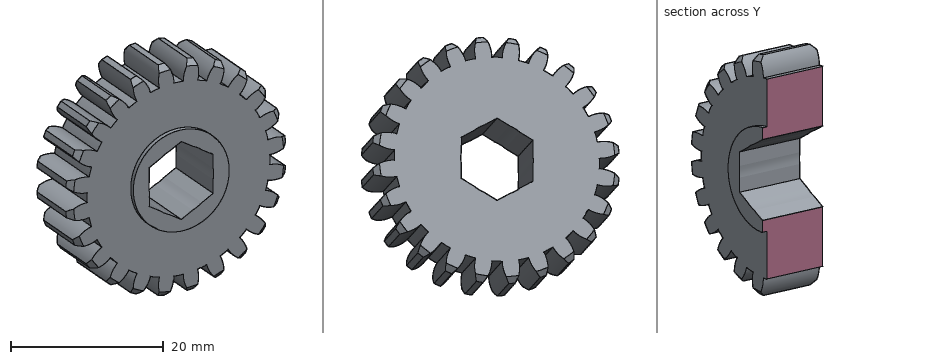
import cadquery as cq
import math


overall_size = 32.85
tooth_count = 24
pressure_angle = math.radians(20)
root_radius = 13.65

gear_width = 9.43
tip_chamfer = 0.8
hub_radius = 7.15
hub_height = 0.72

hex_across_flats = 9.52
round_bore_radius = 4.83


def polar(radius, angle):
    """Point in the YZ plane, with the angle measured from +Y."""
    return (radius * math.cos(angle), radius * math.sin(angle))


def involute(angle):
    return math.tan(angle) - angle


def half_tooth_angle(flank_angle):
    """Half of the angle a tooth spans where its involute flank has the given pressure angle."""
    return tooth_pitch / 4 + involute(pressure_angle) - involute(flank_angle)


tooth_pitch = 2 * math.pi / tooth_count
tip_to_pitch_ratio = (tooth_count + 2) / tooth_count
tip_pressure_angle = math.acos(math.cos(pressure_angle) / tip_to_pitch_ratio)
root_half_angle = half_tooth_angle(0)
pitch_half_angle = half_tooth_angle(pressure_angle)
tip_half_angle = half_tooth_angle(tip_pressure_angle)
tip_radius = overall_size / 2 / math.cos(tooth_pitch / 2 - tip_half_angle)
pitch_radius = tip_radius / tip_to_pitch_ratio


def tooth_profile():
    """Closed outline of all teeth; each flank is one arc that follows the involute from root to tip."""
    first_root = polar(root_radius, tooth_pitch / 2 - root_half_angle)
    profile = cq.Workplane("YZ").moveTo(*first_root)
    for tooth in range(tooth_count):
        center = (tooth + 0.5) * tooth_pitch
        gap_center = center + tooth_pitch / 2
        next_root = polar(root_radius, center + tooth_pitch - root_half_angle)
        profile = (
            profile
            .threePointArc(
                polar(pitch_radius, center - pitch_half_angle),
                polar(tip_radius, center - tip_half_angle),
            )
            .threePointArc(polar(tip_radius, center), polar(tip_radius, center + tip_half_angle))
            .threePointArc(
                polar(pitch_radius, center + pitch_half_angle),
                polar(root_radius, center + root_half_angle),
            )
            .threePointArc(polar(root_radius, gap_center), next_root)
        )
    return profile.close()


teeth = tooth_profile().extrude(gear_width)
blank = cq.Workplane("YZ").circle(tip_radius).extrude(gear_width).edges().chamfer(tip_chamfer)
wheel = teeth.intersect(blank)

total_width = gear_width + hub_height
hub = cq.Workplane("YZ").circle(hub_radius).extrude(total_width)

hex_across_corners = hex_across_flats / math.cos(math.pi / 6)
hex_bore = (
    cq.Workplane("YZ")
    .polygon(6, hex_across_corners)
    .extrude(total_width)
    .rotate((0, 0, 0), (1, 0, 0), 90)
)
round_bore = cq.Workplane("YZ").circle(round_bore_radius).extrude(total_width)

result = wheel.union(hub).cut(hex_bore).cut(round_bore)